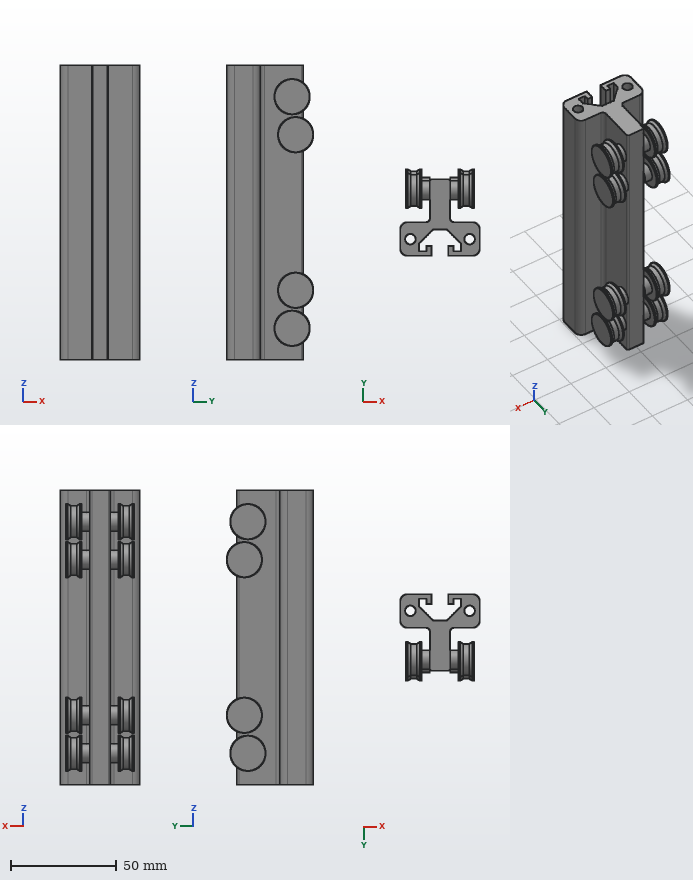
import cadquery as cq

length = 140.0
overall_depth = 41.3

base_width = 38.0
base_depth = 16.1
corner_radius = 3.6
stem_width = 9.7
stem_top = 36.5
tip_radius = 1.0
root_radius = 1.8

mouth_width = 7.8
slot_width = 19.9
slot_floor = 2.2
lip_top = 4.8
lip_thickness = 2.5
slant_start = 5.9
slot_ceiling = 12.5

hole_diameter = 4.9
hole_spacing = 28.1
hole_y = 8.0

flange_diameter = 17.0
groove_diameter = 15.0
axle_diameter = 9.0
roller_outer_face = 16.2
roller_width = 7.5
flange_width = 0.8
rim_chamfer = 0.2
groove_floor_width = 2.8

roller_y_step = 1.7
far_roller_y = overall_depth - flange_diameter / 2
near_roller_y = far_roller_y - roller_y_step
near_roller_distance = 15.0
roller_pitch = 18.0
far_roller_distance = near_roller_distance + roller_pitch


def rail_blank():
    """Base and stem with rounded corners, before the slot and holes are cut."""
    base = (
        cq.Workplane("XY")
        .rect(base_width, base_depth)
        .extrude(length)
        .translate((0, base_depth / 2, 0))
        .edges("|Z")
        .fillet(corner_radius)
    )
    stem_bottom = base_depth / 2
    stem = (
        cq.Workplane("XY")
        .rect(stem_width, stem_top - stem_bottom)
        .extrude(length)
        .translate((0, (stem_top + stem_bottom) / 2, 0))
        .faces(">Y")
        .edges("|Z")
        .fillet(tip_radius)
    )
    margin = 0.1
    root_box = cq.selectors.BoxSelector(
        (-stem_width / 2 - margin, base_depth - margin, 0),
        (stem_width / 2 + margin, base_depth + margin, length),
    )
    return base.union(stem).edges("|Z").edges(root_box).fillet(root_radius)


def t_slot():
    """Slot with two lips at its mouth and walls slanting at 45 degrees to the ceiling."""
    half_mouth = mouth_width / 2
    half_slot = slot_width / 2
    half_ceiling = half_slot - (slot_ceiling - slant_start)
    lip_outer = half_mouth + lip_thickness
    right_side = [
        (half_mouth, 0),
        (half_mouth, lip_top),
        (lip_outer, lip_top),
        (lip_outer, slot_floor),
        (half_slot, slot_floor),
        (half_slot, slant_start),
        (half_ceiling, slot_ceiling),
    ]
    left_side = [(-x, y) for x, y in reversed(right_side)]
    return cq.Workplane("XY").polyline(right_side + left_side).close().extrude(length)


def rail_holes():
    """Two round holes along the full rail, one on each side of the slot."""
    return (
        cq.Workplane("XY")
        .pushPoints([(-hole_spacing / 2, hole_y), (hole_spacing / 2, hole_y)])
        .circle(hole_diameter / 2)
        .extrude(length)
    )


def roller():
    """Roller on the +X side with its axle from the stem, revolved about the X axis."""
    flange_radius = flange_diameter / 2
    groove_radius = groove_diameter / 2
    axle_radius = axle_diameter / 2
    axle_start = stem_width / 2
    half_width = roller_width / 2
    inner_face = roller_outer_face - roller_width
    middle = roller_outer_face - half_width

    outer_half = [
        (groove_floor_width / 2, groove_radius),
        (half_width - flange_width, flange_radius),
        (half_width - rim_chamfer, flange_radius),
        (half_width, flange_radius - rim_chamfer),
    ]
    inner_half = [(-x, radius) for x, radius in reversed(outer_half)]
    rim = [(middle + x, radius) for x, radius in inner_half + outer_half]
    profile = [
        (axle_start, 0),
        (axle_start, axle_radius),
        (inner_face, axle_radius),
        *rim,
        (roller_outer_face, 0),
    ]
    return cq.Workplane("XY").polyline(profile).close().revolve(360, (0, 0, 0), (1, 0, 0))


result = rail_blank().cut(t_slot()).cut(rail_holes())

roller_places = [(near_roller_y, near_roller_distance), (far_roller_y, far_roller_distance)]
for roller_y, end_distance in roller_places:
    for roller_z in (end_distance, length - end_distance):
        right_roller = roller().translate((0, roller_y, roller_z))
        left_roller = right_roller.mirror("YZ")
        result = result.union(right_roller).union(left_roller)